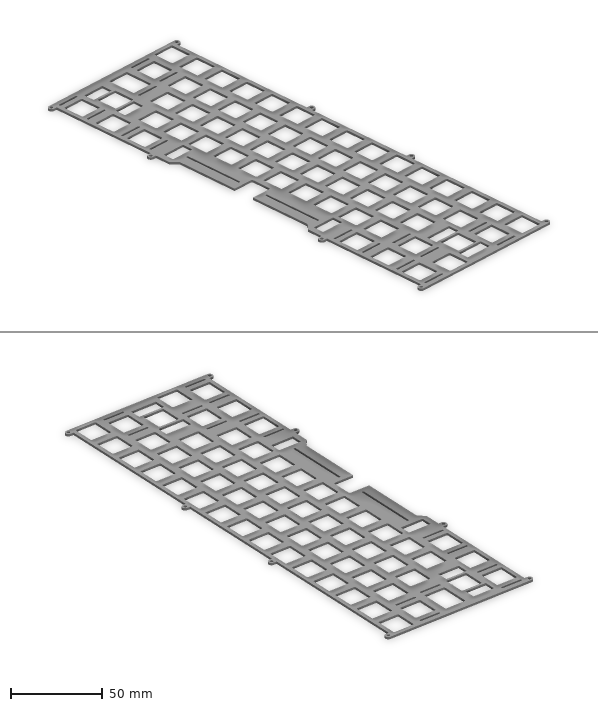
import cadquery as cq

LENGTH = 285.8
COLUMNS = 15
ROWS = 5
KEY_PITCH = LENGTH / COLUMNS
BODY_DEPTH = ROWS * KEY_PITCH
THICKNESS = 1.5
OVERALL_DEPTH = 103.2

LEFT_EDGE = -LENGTH / 2
RIGHT_EDGE = LENGTH / 2
BACK_EDGE = BODY_DEPTH / 2
FRONT_EDGE = -BACK_EDGE

SWITCH_SIZE = 14.0
WINDOW_CORNER = 0.51

KEY_CENTRES = [
    [column + 0.5 for column in range(COLUMNS)],
    [0.75] + [2.0 + i for i in range(12)] + [14.25],
    [0.625, 0.875] + [2.25 + i for i in range(11)] + [13.875],
    [1.125] + [2.75 + i for i in range(10)] + [13.125, 14.5],
    [0.75, 2.0, 3.25, 11.75, 13.0, 14.25],
]
SPACE_CENTRE = COLUMNS / 2

SLOT_INNER = 10.0
SLOT_OUTER = 11.5
SLOT_WIDTH = SLOT_OUTER - SLOT_INNER
SLOT_OFFSET = (SLOT_INNER + SLOT_OUTER) / 2
SLOTTED_KEYS = [
    (1, 0.75, (-1, 1)),
    (1, 14.25, (-1, 1)),
    (2, 0.875, (1,)),
    (3, 13.125, (-1, 1)),
    (4, 0.75, (-1, 1)),
    (4, 3.25, (-1, 1)),
    (4, 11.75, (-1, 1)),
    (4, 14.25, (-1, 1)),
]

STABILIZER_WIDTH = 7.1
SHORT_STABILIZER_OFFSET = 12.0
SPACE_STABILIZER_OFFSET = 57.2
STABILIZERS = [
    (2, 13.875, SHORT_STABILIZER_OFFSET, 17.5, 0.0),
    (3, 1.125, SHORT_STABILIZER_OFFSET, 14.3, -1.5),
    (4, SPACE_CENTRE, SPACE_STABILIZER_OFFSET, 15.1, 1.7),
]

RECESS_DEPTH = 4.0
RECESS_HALF_LENGTH = 48.5
RECESS_SLOPE = 4.3
NOTCH_RISE = 17.7
NOTCH_CORNER = 1.1

SPACE_SLOT_INNER = 10.0
SPACE_SLOT_OUTER = 50.3
SPACE_SLOT_Y = -36.5

TAB_WIDTH = 4.0
TAB_REACH = (OVERALL_DEPTH - BODY_DEPTH) / 2
TAB_HOLE = 2.0
TAB_HOLE_Y = (OVERALL_DEPTH - TAB_WIDTH) / 2
CORNER_TAB_X = RIGHT_EDGE - TAB_WIDTH / 2
BACK_TAB_X = 38.0
FRONT_TAB_X = 65.2


def key_x(centre):
    return LEFT_EDGE + centre * KEY_PITCH


def row_y(row):
    return BACK_EDGE - (row + 0.5) * KEY_PITCH


def block(x, y, width, depth):
    return cq.Workplane("XY").center(x, y).rect(width, depth).extrude(THICKNESS)


def window(x, y, width, depth):
    return block(x, y, width, depth).edges("|Z").fillet(WINDOW_CORNER)


def make_body():
    inner = RECESS_HALF_LENGTH
    outer = inner + RECESS_SLOPE
    recess = FRONT_EDGE + RECESS_DEPTH
    return (
        cq.Workplane("XY")
        .polyline([
            (LEFT_EDGE, BACK_EDGE),
            (LEFT_EDGE, FRONT_EDGE),
            (-outer, FRONT_EDGE),
            (-inner, recess),
            (inner, recess),
            (outer, FRONT_EDGE),
            (RIGHT_EDGE, FRONT_EDGE),
            (RIGHT_EDGE, BACK_EDGE),
        ])
        .close()
        .extrude(THICKNESS)
    )


def disc(x, y, diameter):
    return cq.Workplane("XY").center(x, y).circle(diameter / 2).extrude(THICKNESS)


def make_tab(x, side):
    end_y = side * TAB_HOLE_Y
    root_y = side * (TAB_HOLE_Y - TAB_REACH)
    root = block(x, (root_y + end_y) / 2, TAB_WIDTH, TAB_REACH)
    return root.union(disc(x, end_y, TAB_WIDTH))


tab_places = []
for side, inner_tab_x in ((1, BACK_TAB_X), (-1, FRONT_TAB_X)):
    for x in (-CORNER_TAB_X, -inner_tab_x, inner_tab_x, CORNER_TAB_X):
        tab_places.append((x, side))

plate = make_body()
for x, side in tab_places:
    plate = plate.union(make_tab(x, side))

cuts = []
for row, centres in enumerate(KEY_CENTRES):
    for centre in centres:
        cuts.append(window(key_x(centre), row_y(row), SWITCH_SIZE, SWITCH_SIZE))

for row, centre, sides in SLOTTED_KEYS:
    for side in sides:
        cuts.append(window(key_x(centre) + side * SLOT_OFFSET, row_y(row), SLOT_WIDTH, SWITCH_SIZE))

for row, centre, offset, depth, shift in STABILIZERS:
    for side in (-1, 1):
        cuts.append(block(key_x(centre) + side * offset, row_y(row) + shift, STABILIZER_WIDTH, depth))

for side in (-1, 1):
    middle = side * (SPACE_SLOT_INNER + SPACE_SLOT_OUTER) / 2
    cuts.append(window(middle, SPACE_SLOT_Y, SPACE_SLOT_OUTER - SPACE_SLOT_INNER, SLOT_WIDTH))

notch = block(0, FRONT_EDGE, SWITCH_SIZE, 2 * NOTCH_RISE)
cuts.append(notch.edges("|Z and >Y").fillet(NOTCH_CORNER))

for x, side in tab_places:
    cuts.append(disc(x, side * TAB_HOLE_Y, TAB_HOLE))

result = plate
for opening in cuts:
    result = result.cut(opening)